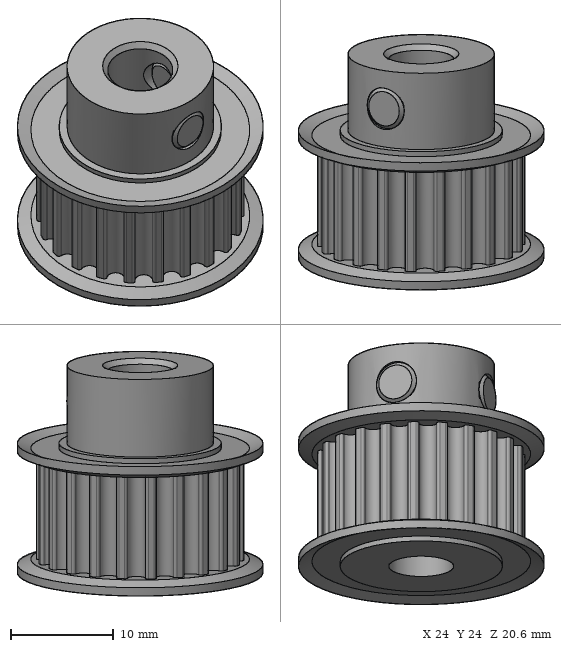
import cadquery as cq
import math

flange_radius = 12.0
flange_floor_radius = 10.68
flange_thickness = 0.85
dish_depth = 0.5
collar_radius = 7.92

tooth_count = 22
tooth_tip_radius = 10.13
groove_radius = 0.86
groove_depth = 1.27
tooth_tip_fillet = 0.26

total_height = 20.62
hub_radius = 7.15
hub_height = 7.73
bore_radius = 3.17
bore_chamfer = 0.5

screw_radius = 2.1
screw_chamfer = 0.35

flange_height = flange_thickness + dish_depth
hub_base_z = total_height - hub_height
track_height = hub_base_z - 2 * flange_height
screw_z = hub_base_z + hub_height / 2


def make_toothed_track():
    """Cylinder with round-bottomed belt grooves and rounded tooth tips."""
    pitch_angle = 360 / tooth_count
    groove_angles = [(i + 0.5) * pitch_angle for i in range(tooth_count)]
    groove_center = tooth_tip_radius - groove_depth + groove_radius
    track = (
        cq.Workplane("XY")
        .circle(tooth_tip_radius)
        .extrude(track_height)
        .rotate((0, 0, 0), (0, 0, 1), pitch_angle / 2)
    )
    mouth_length = 2 * groove_depth
    groove = (
        cq.Workplane("XY")
        .moveTo(groove_center + mouth_length, groove_radius)
        .lineTo(groove_center, groove_radius)
        .threePointArc((groove_center - groove_radius, 0), (groove_center, -groove_radius))
        .lineTo(groove_center + mouth_length, -groove_radius)
        .close()
        .extrude(track_height)
    )
    for angle in groove_angles:
        track = track.cut(groove.rotate((0, 0, 0), (0, 0, 1), angle))

    def is_tip_edge(edge):
        center = edge.Center()
        return math.hypot(center.x, center.y) > tooth_tip_radius - tooth_tip_fillet / 2

    track = track.newObject(track.edges("|Z").filter(is_tip_edge).vals()).fillet(tooth_tip_fillet)
    return track.translate((0, 0, flange_height))


def make_upper_flange():
    """Flange with its rim bent upward around a raised collar."""
    track_top_z = hub_base_z - flange_height
    floor_z = hub_base_z - dish_depth
    return (
        cq.Workplane("XZ")
        .moveTo(0, track_top_z)
        .lineTo(flange_floor_radius, track_top_z)
        .lineTo(flange_radius, hub_base_z - flange_thickness)
        .lineTo(flange_radius, hub_base_z)
        .lineTo(flange_floor_radius, floor_z)
        .lineTo(collar_radius, floor_z)
        .lineTo(collar_radius, hub_base_z)
        .lineTo(0, hub_base_z)
        .close()
        .revolve(360, (0, 0, 0), (0, 1, 0))
    )


def make_lower_flange():
    """Mirror image of the upper flange about the middle of the belt track."""
    return make_upper_flange().mirror("XY", (0, 0, hub_base_z / 2))


def make_hub():
    return cq.Workplane("XY").workplane(offset=hub_base_z).circle(hub_radius).extrude(hub_height)


def make_bore():
    """Through bore, countersunk at the hub end."""
    return (
        cq.Workplane("XZ")
        .lineTo(bore_radius, 0)
        .lineTo(bore_radius, total_height - bore_chamfer)
        .lineTo(bore_radius + bore_chamfer, total_height)
        .lineTo(0, total_height)
        .close()
        .revolve(360, (0, 0, 0), (0, 1, 0))
    )


def make_screw_hole():
    """Radial hole along +X, from the bore axis out past the hub surface."""
    return (
        cq.Workplane("YZ")
        .center(0, screw_z)
        .circle(screw_radius)
        .extrude(hub_radius + screw_chamfer)
    )


def make_screw():
    """Set screw along +X with both ends chamfered, reaching from bore to hub surface."""
    return (
        cq.Workplane("YZ")
        .workplane(offset=bore_radius)
        .center(0, screw_z)
        .circle(screw_radius)
        .extrude(hub_radius - bore_radius)
        .faces("<X or >X")
        .chamfer(screw_chamfer)
    )


result = make_toothed_track().union(make_lower_flange()).union(make_upper_flange()).union(make_hub())
result = result.cut(make_bore())
for direction in (0, 90):
    result = result.cut(make_screw_hole().rotate((0, 0, 0), (0, 0, 1), direction))
    result = result.union(make_screw().rotate((0, 0, 0), (0, 0, 1), direction))